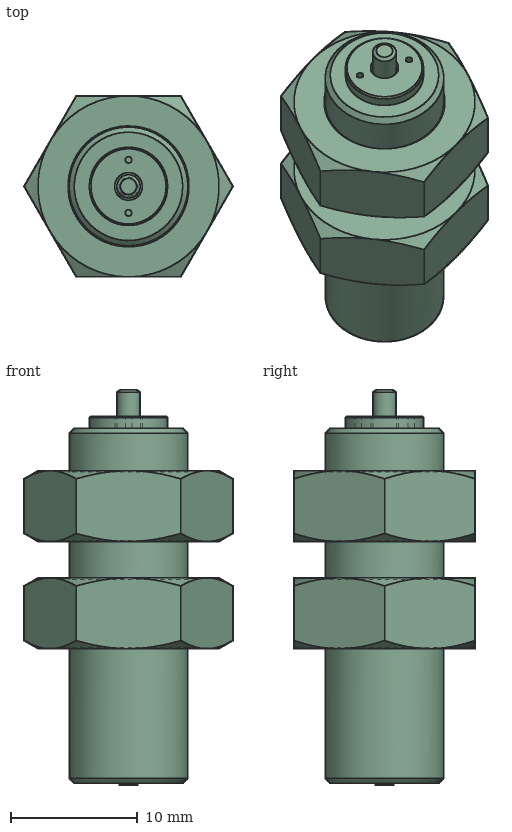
import cadquery as cq
import math

total_height = 31.22
pin_length = 2.1
flange_height = 0.95
bottom_disc_height = 0.12

body_radius = 4.68
body_chamfer = 0.4
flange_radius = 3.1
flange_chamfer = 0.12
bottom_disc_radius = 0.75

pin_radius = 0.92
pin_chamfer_height = 0.2
pin_chamfer_width = 0.28
pin_clearance_radius = 1.1
pin_clearance_depth = flange_height

vent_radius = 0.25
vent_offset = 2.1
vent_depth = flange_height

nut_across_flats = 14.3
nut_height = 5.6
nut_pitch = 8.45
nut_chamfer_angle = 30.0
upper_nut_top = 24.82
nut_bore_chamfer = 0.1

flange_top = total_height - pin_length
body_top = flange_top - flange_height


def cylinder(radius, bottom, top):
    return cq.Workplane("XY").workplane(offset=bottom).circle(radius).extrude(top - bottom)


def make_body():
    barrel = cylinder(body_radius, bottom_disc_height, body_top).edges().chamfer(body_chamfer)
    flange = cylinder(flange_radius, body_top, flange_top).faces(">Z").edges().chamfer(flange_chamfer)
    bottom_disc = cylinder(bottom_disc_radius, 0, bottom_disc_height)
    return barrel.union(flange).union(bottom_disc)


def make_pin_clearance():
    return cylinder(pin_clearance_radius, flange_top - pin_clearance_depth, flange_top)


def make_vents():
    return (
        cq.Workplane("XY")
        .workplane(offset=flange_top)
        .pushPoints([(0, vent_offset), (0, -vent_offset)])
        .circle(vent_radius)
        .extrude(-vent_depth)
    )


def make_pin():
    shank_top = total_height - pin_chamfer_height
    return (
        cq.Workplane("XZ")
        .moveTo(0, body_top)
        .lineTo(pin_radius, body_top)
        .lineTo(pin_radius, shank_top)
        .lineTo(pin_radius - pin_chamfer_width, total_height)
        .lineTo(0, total_height)
        .close()
        .revolve(360, (0, 0, 0), (0, 1, 0))
    )


def make_nut(top):
    """Hexagon nut with two corners on the X axis, coned corners and a chamfered bore at both ends."""
    bottom = top - nut_height
    face_radius = nut_across_flats / 2
    corner_radius = face_radius / math.cos(math.pi / 6)
    corner_drop = (corner_radius - face_radius) * math.tan(math.radians(nut_chamfer_angle))
    hexagon = (
        cq.Workplane("XY")
        .workplane(offset=bottom)
        .polygon(6, 2 * corner_radius)
        .extrude(nut_height)
    )
    turned_blank = (
        cq.Workplane("XZ")
        .moveTo(0, bottom)
        .lineTo(face_radius, bottom)
        .lineTo(corner_radius, bottom + corner_drop)
        .lineTo(corner_radius, top - corner_drop)
        .lineTo(face_radius, top)
        .lineTo(0, top)
        .close()
        .revolve(360, (0, 0, 0), (0, 1, 0))
    )
    bore = cylinder(body_radius, bottom, top)
    nut = hexagon.intersect(turned_blank).cut(bore)
    bore_rims = cq.selectors.RadiusNthSelector(0)
    return nut.edges(bore_rims).chamfer(nut_bore_chamfer)


result = make_body().cut(make_pin_clearance()).cut(make_vents()).union(make_pin())
for nut_top in (upper_nut_top, upper_nut_top - nut_pitch):
    result = result.union(make_nut(nut_top))